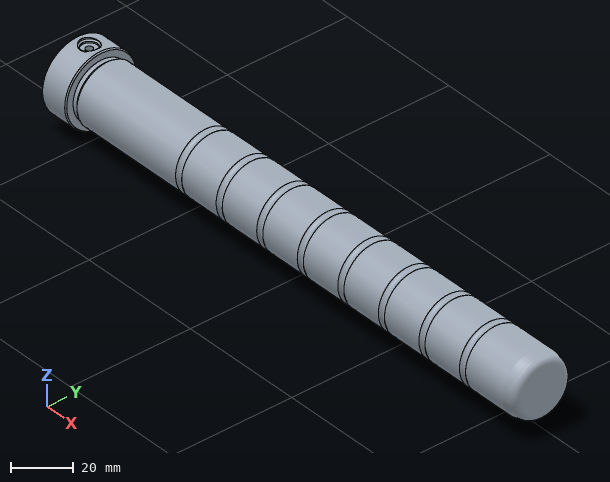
import cadquery as cq
import math

length = 230.0
head_diameter = 30.0
head_length = 12.0
head_chamfer = 0.5
shank_diameter = 25.0
shank_radius = shank_diameter / 2

relief_width = 1.8
relief_depth = 0.7
relief_ramp = 1.0

groove_count = 8
groove_pitch = 20.0
first_groove_x = 64.9
groove_width = 3.0
groove_depth = 0.7

taper_length = 2.5
taper_depth = 0.7
nose_radius = 2.8

cross_rim_diameter = 7.5
cross_rim_depth = 0.7
cross_bore_diameter = 6.5
cross_bore_depth = 1.8
cross_pilot_diameter = 2.8
cross_pilot_depth = 3.7

centre_rim_diameter = 4.8
centre_bore_diameter = 3.0
centre_bore_depth = 7.0
drill_point_angle = 118.0


def make_head():
    """Round head with chamfered rims."""
    head_radius = head_diameter / 2
    profile = (
        cq.Workplane("XZ")
        .moveTo(0, 0)
        .lineTo(0, head_radius - head_chamfer)
        .lineTo(head_chamfer, head_radius)
        .lineTo(head_length - head_chamfer, head_radius)
        .lineTo(head_length, head_radius - head_chamfer)
        .lineTo(head_length, 0)
        .close()
    )
    return profile.revolve(360, (0, 0, 0), (1, 0, 0))


def make_shank():
    """Shank of revolution with relief, tapered lead-in and rounded nose."""
    relief_radius = shank_radius - relief_depth
    relief_end = head_length + relief_width
    nose_start = length - nose_radius
    taper_end_radius = shank_radius - taper_depth
    profile = (
        cq.Workplane("XZ")
        .moveTo(head_length / 2, 0)
        .lineTo(head_length / 2, relief_radius)
        .lineTo(relief_end, relief_radius)
        .lineTo(relief_end + relief_ramp, shank_radius)
        .lineTo(nose_start - taper_length, shank_radius)
        .lineTo(nose_start, taper_end_radius)
        .radiusArc((length, taper_end_radius - nose_radius), nose_radius)
        .lineTo(length, 0)
        .close()
    )
    return profile.revolve(360, (0, 0, 0), (1, 0, 0))


def make_groove(center_x):
    """Ring with a rounded floor, to cut around the shank."""
    profile = (
        cq.Workplane("XZ")
        .moveTo(center_x - groove_width / 2, shank_radius)
        .threePointArc(
            (center_x, shank_radius - groove_depth),
            (center_x + groove_width / 2, shank_radius),
        )
        .close()
    )
    return profile.revolve(360, (0, 0, 0), (1, 0, 0))


def make_cross_hole():
    """Chamfered bore with a narrower pilot, running down along Z from the top of the head."""
    top = head_diameter / 2
    rim_radius = cross_rim_diameter / 2
    bore_radius = cross_bore_diameter / 2
    pilot_radius = cross_pilot_diameter / 2
    profile = (
        cq.Workplane("XZ", origin=(head_length / 2, 0, 0))
        .moveTo(0, top)
        .lineTo(rim_radius, top)
        .lineTo(rim_radius, top - cross_rim_depth)
        .lineTo(bore_radius, top - cross_rim_depth - (rim_radius - bore_radius))
        .lineTo(bore_radius, top - cross_bore_depth)
        .lineTo(pilot_radius, top - cross_bore_depth)
        .lineTo(pilot_radius, top - cross_pilot_depth)
        .lineTo(0, top - cross_pilot_depth)
        .close()
    )
    return profile.revolve(360, (0, 0, 0), (0, 1, 0))


def make_centre_hole():
    """Chamfered blind hole with a drill point, along X from the head face."""
    rim_radius = centre_rim_diameter / 2
    bore_radius = centre_bore_diameter / 2
    point_depth = bore_radius / math.tan(math.radians(drill_point_angle / 2))
    profile = (
        cq.Workplane("XZ")
        .moveTo(0, 0)
        .lineTo(0, rim_radius)
        .lineTo(rim_radius - bore_radius, bore_radius)
        .lineTo(centre_bore_depth, bore_radius)
        .lineTo(centre_bore_depth + point_depth, 0)
        .close()
    )
    return profile.revolve(360, (0, 0, 0), (1, 0, 0))


result = make_head().union(make_shank())
for index in range(groove_count):
    result = result.cut(make_groove(first_groove_x + index * groove_pitch))
result = result.cut(make_cross_hole()).cut(make_centre_hole())